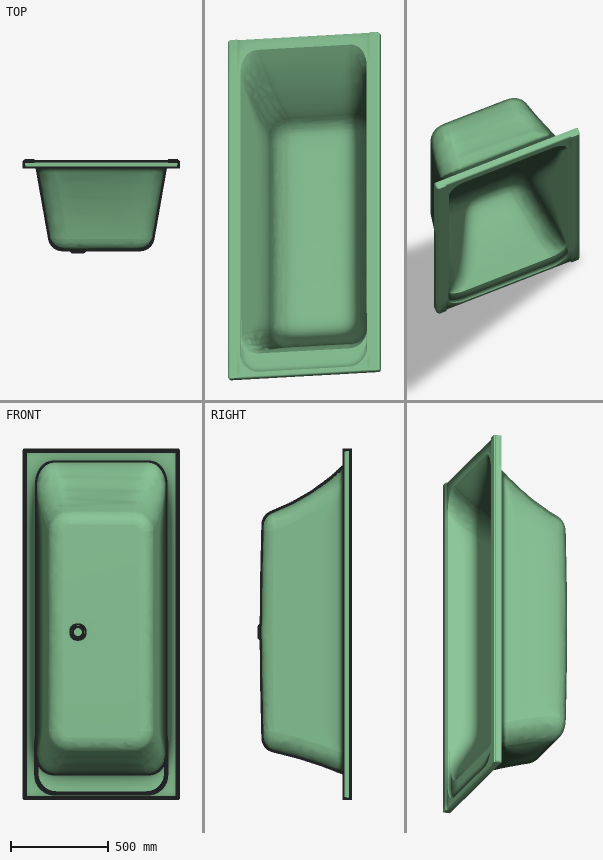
import cadquery as cq
import math

length = 1800.0
width = 800.0
total_depth = 476.0

rim_depth = 34.0
rim_plate_thickness = 10.0
rim_corner_radius = 10.0
rim_top_edge_radius = 8.0
skirt_edge_thickness = 3.0
skirt_draft = 20.0

strip_height = 5.0
strip_width = 42.0
strip_edge_gap = 9.0
strip_centre = width / 2 - strip_edge_gap - strip_width / 2

wall_thickness = 6.0
basin_half_width = 339.0
side_draft = 10.0
floor_depth = 460.0
floor_sag = 11.0
basin_corner_radius = 103.0
floor_edge_radius = 75.0

head_wall = (848.0, 666.0, 563.0)
foot_wall = (-783.0, -699.0, -643.0)

ledge_depth = 22.0
ledge_half_width = 340.0
ledge_foot_z = -877.0
ledge_top_z = -500.0
ledge_corner_radius = 105.0
ledge_draft = 45.0

drain_x = -120.0
drain_z = -40.0
drain_base_radius = 43.0
drain_tip_radius = 27.0
drain_tip_depth = total_depth - strip_height


def rim():
    """Rim plate with a skirt turned down around its outer edge."""
    block = (
        cq.Workplane("XZ")
        .rect(width, length)
        .extrude(rim_depth)
        .edges("|Y")
        .fillet(rim_corner_radius)
        .faces(">Y")
        .edges()
        .fillet(rim_top_edge_radius)
    )
    hollow = (
        cq.Workplane("XZ", origin=(0, -rim_depth, 0))
        .rect(width - 2 * skirt_edge_thickness, length - 2 * skirt_edge_thickness)
        .extrude(rim_plate_thickness - rim_depth, taper=skirt_draft)
    )
    return block.cut(hollow)


def strip(side):
    """Raised strip along one long side of the rim; side is -1 or 1."""
    strip_root = rim_plate_thickness / 2
    centre_y = (strip_height - strip_root) / 2
    return (
        cq.Workplane("XY", origin=(side * strip_centre, centre_y, 0))
        .box(strip_width, strip_height + strip_root, length)
    )


def end_wall(wall, inset):
    """(Y, Z) points of a curved end wall: at the rim, half way down and at the floor corner."""
    rim_z, middle_z, floor_z = wall
    corner_depth = floor_depth - floor_sag
    slope = (floor_z - rim_z) / corner_depth
    inward = math.copysign(inset * math.hypot(1, slope), slope)
    return (
        (0, rim_z + inward),
        (-corner_depth / 2, middle_z + inward),
        (inset - corner_depth, floor_z + inward),
    )


def basin(inset):
    """Solid basin shape, drawn in by inset from the outer surface of the tub."""
    draft = math.radians(side_draft)
    half_mouth = basin_half_width - inset / math.cos(draft)
    half_floor = half_mouth - floor_depth * math.tan(draft)
    cross_section = (
        cq.Workplane("XY", origin=(0, 0, -length / 2))
        .polyline([
            (-half_mouth, 0),
            (half_mouth, 0),
            (half_floor, -floor_depth),
            (-half_floor, -floor_depth),
        ])
        .close()
        .extrude(length)
    )

    head_rim, head_middle, head_floor = end_wall(head_wall, inset)
    foot_rim, foot_middle, foot_floor = end_wall(foot_wall, inset)
    floor_middle = (inset - floor_depth, (head_floor[1] + foot_floor[1]) / 2)
    long_section = (
        cq.Workplane("YZ", origin=(-width / 2, 0, 0))
        .moveTo(*head_rim)
        .threePointArc(head_middle, head_floor)
        .threePointArc(floor_middle, foot_floor)
        .threePointArc(foot_middle, foot_rim)
        .close()
        .extrude(width)
    )

    sharp = long_section.intersect(cross_section)
    quarter_depth = floor_depth / 4
    wall_corners = cq.selectors.BoxSelector(
        (-width, -floor_depth + quarter_depth, -length),
        (width, -quarter_depth, length),
    )
    rounded = sharp.edges(wall_corners).fillet(basin_corner_radius - inset)
    return rounded.faces("<Y").edges().fillet(floor_edge_radius - inset)


def ledge(inset):
    """Solid ledge shape beside the foot end of the basin, drawn in by inset."""
    span = ledge_top_z - ledge_foot_z
    outline = (
        cq.Sketch()
        .rect(2 * (ledge_half_width - inset), span - 2 * inset)
        .vertices()
        .fillet(ledge_corner_radius - inset)
    )
    centre_z = (ledge_top_z + ledge_foot_z) / 2
    through_plate = (
        cq.Workplane("XZ", origin=(0, 0, centre_z)).placeSketch(outline).extrude(rim_plate_thickness)
    )
    below_plate = (
        cq.Workplane("XZ", origin=(0, -rim_plate_thickness, centre_z))
        .placeSketch(outline)
        .extrude(ledge_depth - rim_plate_thickness - inset, taper=ledge_draft)
    )
    return through_plate.union(below_plate)


def drain_boss():
    """Cone-shaped drain boss, sunk slightly into the floor and narrowing away from it."""
    root_depth = floor_depth - wall_thickness / 2
    drain_height = drain_tip_depth - root_depth
    return (
        cq.Workplane("XZ", origin=(drain_x, -root_depth, drain_z))
        .circle(drain_base_radius)
        .workplane(offset=drain_height)
        .circle(drain_tip_radius)
        .loft()
    )


outer = rim().union(basin(0)).union(ledge(0))
result = outer.cut(basin(wall_thickness)).cut(ledge(wall_thickness))
for side in (-1, 1):
    result = result.union(strip(side))
result = result.union(drain_boss())